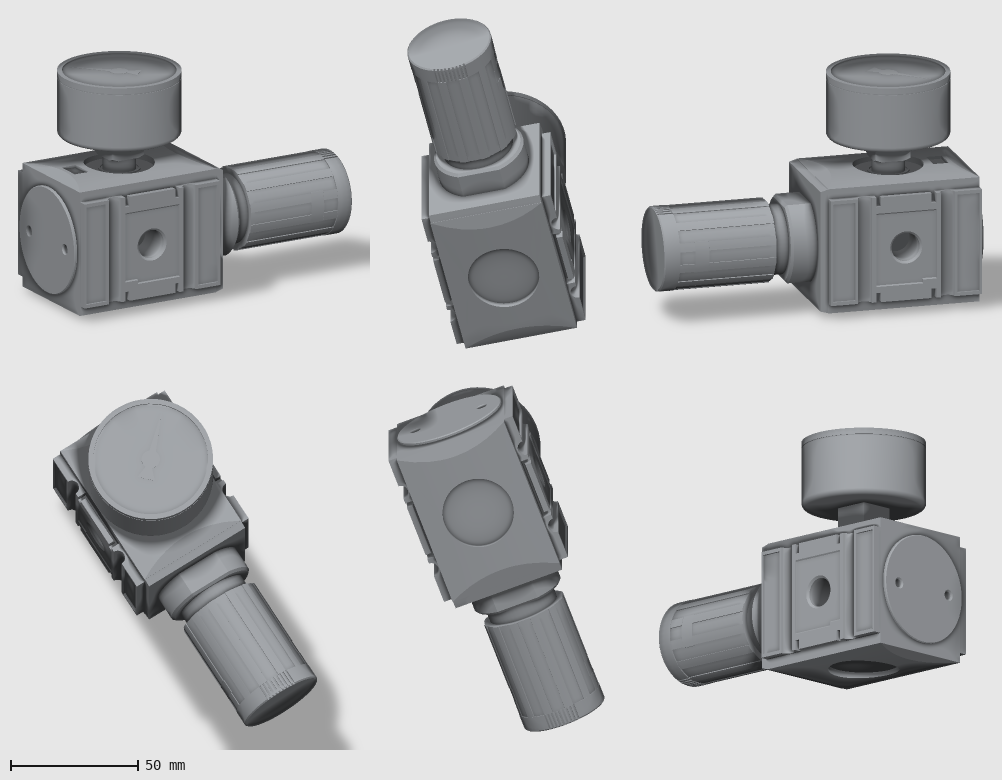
import cadquery as cq
import math


OVERALL_WIDTH = 52.0
OVERLAP = 1.3

CORE_HALF_WIDTH = 22.5
CORE_HALF_LENGTH = 31.0
CORE_EDGE_HEIGHT = 25.4
CROWN_HEIGHT = 27.1
END_SLOPE_RUN = 6.0
END_SLOPE = (CROWN_HEIGHT - CORE_EDGE_HEIGHT) / END_SLOPE_RUN

PLATE_STEP = 0.1
PLATE_END = 34.0
NUT_DIAMETER = 36.1
NUT_FLAT_DISTANCE = 32.0
NUT_END = 44.6
NUT_CHAMFER = 1.0
NECK_DIAMETER = 28.0

PLUG_NECK_DIAMETER = 37.2
PLUG_NECK_LENGTH = 0.8
PLUG_DISC_DIAMETER = 43.5
PLUG_DISC_THICKNESS = 1.2
PLUG_CHAMFER = 0.4
PIN_HOLE_OFFSET = 13.9
PIN_HOLE_DIAMETER = 3.2
PIN_HOLE_MOUTH_DIAMETER = 4.5
PIN_HOLE_DEPTH = 3.2

SIDE_FACE = OVERALL_WIDTH / 2
SIDE_HALF_HEIGHT = 21.4
SIDE_HALF_LENGTH = 30.8
SIDE_GROOVE_POSITION = 16.9
SIDE_GROOVE_RADIUS = 2.8
PANEL_POSITION = 25.4
PANEL_LENGTH = 9.0
PANEL_HEIGHT = 40.0
PANEL_DEPTH = 0.9
SLOT_INNER = 10.3
SLOT_WIDTH = 1.9
SLOT_DEPTH = 3.9
GAP_TOP_X = 23.7
GAP_FLOOR_X = 23.1

LABEL_HALF_LENGTH = 12.3
LABEL_TOP = 14.8
LABEL_BOTTOM = -15.1
LABEL_STEP_BOTTOM = -13.5
LABEL_STEP_Y = -6.7
LABEL_DEPTH = 0.4
LABEL_SLANT = 0.5

PORT_DIAMETER = 11.5
PORT_MOUTH_DIAMETER = 13.2
PORT_DEPTH = 15.5

SEAT_DIAMETER = 28.0
SEAT_FLOOR = 24.5
COLLAR_OUTER_DIAMETER = 16.8
COLLAR_INNER_DIAMETER = 15.1
COLLAR_HEIGHT = 0.5
ARROW_POCKET_Y = -20.1
ARROW_POCKET_WIDTH = 10.3
ARROW_POCKET_LENGTH = 6.3
ARROW_POCKET_FLOOR = 25.8

GAUGE_DIAMETER = 49.0
GAUGE_BOTTOM = 38.5
GAUGE_TOP = 65.0
GAUGE_FILLET = 2.0
BEZEL_GROOVE_BOTTOM = 62.2
BEZEL_GROOVE_WIDTH = 0.4
BEZEL_GROOVE_DEPTH = 0.3
DIAL_DIAMETER = 45.0
DIAL_DEPTH = 0.6
POINTER_THICKNESS = 0.1
POINTER_ANGLE = 45.0
POINTER_HUB_RADIUS = 3.6
POINTER_HALF_WAIST = 1.3
POINTER_TIP = 20.3
POINTER_TAIL = 8.1
POINTER_TAIL_HALF_WIDTH = 3.5
SQUARE_WIDTH = 14.2
SQUARE_BOTTOM = 29.9
SQUARE_CHAMFER_DIAMETER = 16.8
SQUARE_CHAMFER_ANGLE = 30.0
STEM_DIAMETER = 13.2
STEM_BOTTOM = 18.0

KNOB_START = 50.3
KNOB_END = 96.1
KNOB_BORE_DEPTH = 10.3
RIB_RADIUS = 16.8
FLUTE_RADIUS = 16.4
FLUTE_COUNT = 12
FLUTE_ANGLE = 17.8
CAP_RADIUS = 16.9
CAP_START = 89.7
CAP_CHAMFER = 0.5
PAD_START = 77.8
PAD_LENGTH = 5.7
PAD_WIDTH = 12.6
PAD_RADIUS = 16.6
KNURL_COUNT = 9
KNURL_PITCH_ANGLE = 5.2
KNURL_WIDTH = 0.8
KNURL_DEPTH = 0.5


def box(x_range, y_range, z_range):
    """Box given by its limits along each axis."""
    size = [high - low for low, high in (x_range, y_range, z_range)]
    corner = (x_range[0], y_range[0], z_range[0])
    return cq.Workplane("XY").box(*size, centered=False).translate(corner)


def y_cylinder(diameter, y_start, y_end):
    """Cylinder around the Y axis."""
    plane = cq.Workplane("XZ", origin=(0, y_start, 0))
    return plane.circle(diameter / 2).extrude(y_start - y_end)


def z_cylinder(diameter, z_start, z_end):
    """Cylinder around the Z axis."""
    return cq.Workplane("XY", origin=(0, 0, z_start)).circle(diameter / 2).extrude(z_end - z_start)


def both_sides(shape):
    """A shape on the -X side together with its mirror image on the +X side."""
    return shape.union(shape.mirror("YZ"))



def make_core():
    """Block with a crowned top and bottom that slope down towards both ends."""
    w, h = CORE_HALF_WIDTH, CORE_EDGE_HEIGHT
    crowned = (
        cq.Workplane("XZ")
        .moveTo(-w, -h)
        .threePointArc((0, -CROWN_HEIGHT), (w, -h))
        .lineTo(w, h)
        .threePointArc((0, CROWN_HEIGHT), (-w, h))
        .close()
        .extrude(CORE_HALF_LENGTH, both=True)
    )
    y, flat = CORE_HALF_LENGTH, CORE_HALF_LENGTH - END_SLOPE_RUN
    corner_points = [(-y, h), (-flat, CROWN_HEIGHT), (flat, CROWN_HEIGHT), (y, h)]
    corner_points += [(py, -pz) for py, pz in reversed(corner_points)]
    side_outline = cq.Workplane("YZ").polyline(corner_points).close().extrude(w, both=True)
    return crowned.intersect(side_outline)


def make_bonnet():
    """End plate, nut with two flats, and the neck that carries the knob."""
    near = CORE_EDGE_HEIGHT - PLATE_STEP
    far = near - END_SLOPE * (PLATE_END - CORE_HALF_LENGTH)
    plate = (
        cq.Workplane("YZ")
        .polyline([
            (CORE_HALF_LENGTH, -near), (PLATE_END, -far),
            (PLATE_END, far), (CORE_HALF_LENGTH, near),
        ])
        .close()
        .extrude(CORE_HALF_WIDTH - PLATE_STEP, both=True)
    )
    nut = y_cylinder(NUT_DIAMETER, PLATE_END, NUT_END)
    half_flat = NUT_FLAT_DISTANCE / 2
    flats = box((-NUT_DIAMETER, NUT_DIAMETER), (PLATE_END, NUT_END), (-half_flat, half_flat))
    neck = y_cylinder(NECK_DIAMETER, NUT_END, KNOB_START + KNOB_BORE_DEPTH)
    nut = nut.intersect(flats).faces(">Y").chamfer(NUT_CHAMFER)
    return plate.union(nut).union(neck)


def make_end_plug():
    """Round plug: a neck and a wider disc."""
    neck_end = -CORE_HALF_LENGTH - PLUG_NECK_LENGTH
    face = neck_end - PLUG_DISC_THICKNESS
    plug = y_cylinder(PLUG_NECK_DIAMETER, -CORE_HALF_LENGTH, neck_end)
    disc = y_cylinder(PLUG_DISC_DIAMETER, neck_end, face).faces("<Y").chamfer(PLUG_CHAMFER)
    return plug.union(disc)


def make_pin_holes():
    """Cutters for two countersunk holes in the plug face."""
    face = -CORE_HALF_LENGTH - PLUG_NECK_LENGTH - PLUG_DISC_THICKNESS
    mouth_radius = PIN_HOLE_MOUTH_DIAMETER / 2
    radius = PIN_HOLE_DIAMETER / 2
    hole = (
        cq.Workplane("XY")
        .polyline([
            (0, 0), (mouth_radius, 0), (radius, mouth_radius - radius),
            (radius, PIN_HOLE_DEPTH), (0, PIN_HOLE_DEPTH),
        ])
        .close()
        .revolve(360, (0, 0), (0, 1))
        .translate((-PIN_HOLE_OFFSET, face, 0))
    )
    return both_sides(hole)


def make_side_plate():
    """Mounting plate on the -X side with grooves, panels and a slotted middle."""
    plate = box(
        (-SIDE_FACE, -CORE_HALF_WIDTH),
        (-SIDE_HALF_LENGTH, SIDE_HALF_LENGTH),
        (-SIDE_HALF_HEIGHT, SIDE_HALF_HEIGHT),
    )
    slot_floor = SIDE_HALF_HEIGHT - SLOT_DEPTH
    gap_outline = [
        (-GAP_TOP_X, SIDE_HALF_HEIGHT), (-GAP_FLOOR_X, slot_floor),
        (-CORE_HALF_WIDTH, slot_floor), (-CORE_HALF_WIDTH, SIDE_HALF_HEIGHT),
    ]
    gap = cq.Workplane("XZ").polyline(gap_outline).close().extrude(SLOT_INNER, both=True)
    plate = plate.cut(gap).cut(gap.mirror("XY"))
    half_panel = PANEL_LENGTH / 2
    for side in (-1, 1):
        groove_y = side * SIDE_GROOVE_POSITION
        groove = (
            cq.Workplane("XY")
            .center(-SIDE_FACE, groove_y)
            .circle(SIDE_GROOVE_RADIUS)
            .extrude(SIDE_HALF_HEIGHT, both=True)
        )
        panel_y = side * PANEL_POSITION
        panel = box(
            (-SIDE_FACE, -SIDE_FACE + PANEL_DEPTH),
            (panel_y - half_panel, panel_y + half_panel),
            (-PANEL_HEIGHT / 2, PANEL_HEIGHT / 2),
        )
        slot_y = side * (SLOT_INNER + SLOT_WIDTH / 2)
        slot = box(
            (-SIDE_FACE, -CORE_HALF_WIDTH),
            (slot_y - SLOT_WIDTH / 2, slot_y + SLOT_WIDTH / 2),
            (slot_floor, SIDE_HALF_HEIGHT),
        )
        plate = plate.cut(groove).cut(panel).cut(slot).cut(slot.mirror("XY"))
    return plate


def label_strip(y_start, y_end, bottom):
    """Shallow recess with slanted upper and lower walls."""
    floor_x = -SIDE_FACE + LABEL_DEPTH
    outline = [
        (-SIDE_FACE, LABEL_TOP), (floor_x, LABEL_TOP - LABEL_SLANT),
        (floor_x, bottom + LABEL_SLANT), (-SIDE_FACE, bottom),
    ]
    plane = cq.Workplane("XZ", origin=(0, y_start, 0))
    return plane.polyline(outline).close().extrude(y_start - y_end)


def make_label_recess():
    main = label_strip(LABEL_STEP_Y, LABEL_HALF_LENGTH, LABEL_BOTTOM)
    stepped = label_strip(-LABEL_HALF_LENGTH, LABEL_STEP_Y, LABEL_STEP_BOTTOM)
    return main.union(stepped)


def make_port():
    """Blind port with a chamfered mouth on the -X side."""
    floor_x = -SIDE_FACE + LABEL_DEPTH
    end_x = -SIDE_FACE + PORT_DEPTH
    radius, mouth_radius = PORT_DIAMETER / 2, PORT_MOUTH_DIAMETER / 2
    outline = [
        (floor_x, 0), (floor_x, mouth_radius),
        (floor_x + mouth_radius - radius, radius), (end_x, radius), (end_x, 0),
    ]
    return cq.Workplane("XZ").polyline(outline).close().revolve(360, (0, 0), (1, 0))


def make_plain_seat():
    """Round recess in the upper crown, without collar or hole."""
    return z_cylinder(SEAT_DIAMETER, SEAT_FLOOR, CROWN_HEIGHT + OVERLAP)


def make_gauge_seat():
    """Round seat with a raised collar around the stem hole."""
    collar = z_cylinder(COLLAR_OUTER_DIAMETER, SEAT_FLOOR, SEAT_FLOOR + COLLAR_HEIGHT)
    collar = collar.cut(z_cylinder(COLLAR_INNER_DIAMETER, SEAT_FLOOR, SEAT_FLOOR + COLLAR_HEIGHT))
    seat = make_plain_seat().cut(collar)
    stem_hole = z_cylinder(STEM_DIAMETER, STEM_BOTTOM, SEAT_FLOOR)
    return seat.union(stem_hole)


def make_arrow_pocket():
    """Shallow rectangular pocket in the crown."""
    return box(
        (-ARROW_POCKET_WIDTH / 2, ARROW_POCKET_WIDTH / 2),
        (ARROW_POCKET_Y - ARROW_POCKET_LENGTH / 2, ARROW_POCKET_Y + ARROW_POCKET_LENGTH / 2),
        (ARROW_POCKET_FLOOR, CROWN_HEIGHT + OVERLAP),
    )


def make_housing():
    body = make_core().union(both_sides(make_side_plate()))
    body = body.union(make_bonnet()).union(make_end_plug())
    body = body.cut(both_sides(make_label_recess())).cut(both_sides(make_port()))
    body = body.cut(make_pin_holes()).cut(make_gauge_seat()).cut(make_plain_seat().mirror("XY"))
    return body.cut(make_arrow_pocket())



def make_gauge_case():
    """Round case with a bezel groove and a recessed dial."""
    case = z_cylinder(GAUGE_DIAMETER, GAUGE_BOTTOM, GAUGE_TOP).faces("<Z").edges().fillet(GAUGE_FILLET)
    groove_top = BEZEL_GROOVE_BOTTOM + BEZEL_GROOVE_WIDTH
    groove = z_cylinder(GAUGE_DIAMETER, BEZEL_GROOVE_BOTTOM, groove_top).cut(
        z_cylinder(GAUGE_DIAMETER - 2 * BEZEL_GROOVE_DEPTH, BEZEL_GROOVE_BOTTOM, groove_top)
    )
    dial = z_cylinder(DIAL_DIAMETER, GAUGE_TOP - DIAL_DEPTH, GAUGE_TOP)
    return case.cut(groove).cut(dial)


def make_pointer():
    """Raised pointer: a hub, a needle and a flared tail."""
    dial_height = GAUGE_TOP - DIAL_DEPTH
    hub = z_cylinder(2 * POINTER_HUB_RADIUS, dial_height, dial_height + POINTER_THICKNESS)
    waist_x = math.sqrt(POINTER_HUB_RADIUS**2 - POINTER_HALF_WAIST**2)
    blade = (
        cq.Workplane("XY", origin=(0, 0, dial_height))
        .polyline([
            (-POINTER_TIP, 0),
            (-waist_x, -POINTER_HALF_WAIST),
            (waist_x, -POINTER_HALF_WAIST),
            (POINTER_TAIL, -POINTER_TAIL_HALF_WIDTH),
            (POINTER_TAIL, POINTER_TAIL_HALF_WIDTH),
            (waist_x, POINTER_HALF_WAIST),
            (-waist_x, POINTER_HALF_WAIST),
        ])
        .close()
        .extrude(POINTER_THICKNESS)
    )
    return hub.union(blade).rotate((0, 0, 0), (0, 0, 1), POINTER_ANGLE)


def make_gauge_square():
    """Square for a wrench, its lower corners turned off by a cone."""
    half = SQUARE_WIDTH / 2
    square = box((-half, half), (-half, half), (SQUARE_BOTTOM, GAUGE_BOTTOM))
    bottom_radius = SQUARE_CHAMFER_DIAMETER / 2
    corner_radius = half * math.sqrt(2)
    rise = (corner_radius - bottom_radius) * math.tan(math.radians(SQUARE_CHAMFER_ANGLE))
    turned = (
        cq.Workplane("XZ")
        .polyline([
            (0, SQUARE_BOTTOM), (bottom_radius, SQUARE_BOTTOM),
            (corner_radius, SQUARE_BOTTOM + rise), (corner_radius, GAUGE_BOTTOM), (0, GAUGE_BOTTOM),
        ])
        .close()
        .revolve(360, (0, 0), (0, 1))
    )
    return square.intersect(turned)


def make_gauge():
    stem = z_cylinder(STEM_DIAMETER, STEM_BOTTOM, SQUARE_BOTTOM)
    return make_gauge_case().union(make_pointer()).union(make_gauge_square()).union(stem)



def make_flute():
    """Sector of the shallow ring that is removed between two ribs, at +Z."""
    half_angle = math.radians(FLUTE_ANGLE / 2)
    reach = RIB_RADIUS + OVERLAP
    half_reach = reach * math.tan(half_angle)
    wedge = (
        cq.Workplane("XZ", origin=(0, KNOB_START, 0))
        .polyline([(0, 0), (half_reach, reach), (-half_reach, reach)])
        .close()
        .extrude(KNOB_START - CAP_START)
    )
    return wedge.cut(y_cylinder(2 * FLUTE_RADIUS, KNOB_START, CAP_START))


def make_knurl_groove():
    """Groove along the rim of the cap, at +Z."""
    return box(
        (-KNURL_WIDTH / 2, KNURL_WIDTH / 2),
        (CAP_START, KNOB_END),
        (CAP_RADIUS - KNURL_DEPTH, CAP_RADIUS + OVERLAP),
    )


def add_pads(knob):
    """Fill the flutes and trim the ribs to one smooth pad on each side."""
    pad_end = PAD_START + PAD_LENGTH
    block = box((-RIB_RADIUS, -NECK_DIAMETER / 2), (PAD_START, pad_end), (-PAD_WIDTH / 2, PAD_WIDTH / 2))
    block = both_sides(block)
    pads = block.intersect(y_cylinder(2 * PAD_RADIUS, PAD_START, pad_end))
    return knob.cut(block).union(pads)


def make_knob():
    """Fluted knob with a cap, two knurled patches and a smooth pad on each side."""
    axis_start, axis_end = (0, 0, 0), (0, 1, 0)
    knob = y_cylinder(2 * RIB_RADIUS, KNOB_START, CAP_START)
    flute = make_flute()
    for i in range(FLUTE_COUNT):
        knob = knob.cut(flute.rotate(axis_start, axis_end, i * 360 / FLUTE_COUNT))
    cap = y_cylinder(2 * CAP_RADIUS, CAP_START, KNOB_END).faces(">Y").chamfer(CAP_CHAMFER)
    groove = make_knurl_groove()
    for patch_angle in (0, 180):
        for i in range(KNURL_COUNT):
            angle = patch_angle + (i - (KNURL_COUNT - 1) / 2) * KNURL_PITCH_ANGLE
            cap = cap.cut(groove.rotate(axis_start, axis_end, angle))
    bore = y_cylinder(NECK_DIAMETER, KNOB_START, KNOB_START + KNOB_BORE_DEPTH)
    return add_pads(knob).union(cap).cut(bore)


housing = make_housing()
gauge = make_gauge()
knob = make_knob()

result = cq.Compound.makeCompound([housing.solids().val(), gauge.solids().val(), knob.solids().val()])